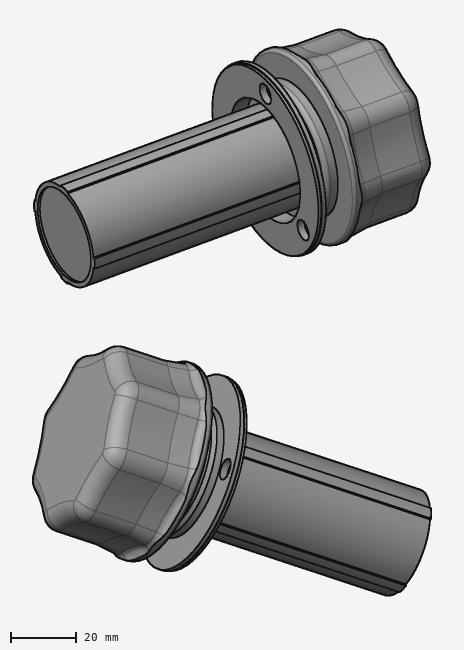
import cadquery as cq
import math

TOTAL_LENGTH = 115.0

TUBE_RADIUS = 17.0
STRIP_RADIUS = 17.6
STRIP_WIDTH = 3.9
STRIP_COUNT = 4
TUBE_RECESS_RADIUS = 15.4
TUBE_RECESS_DEPTH = 0.8

FLANGE_START = 72.1
FLANGE_FACE_RADIUS = 30.8
FLANGE_FACE_THICKNESS = 1.0
FLANGE_RADIUS = 31.2
FLANGE_THICKNESS = 2.5
FLANGE_BORE_RADIUS = 20.2
FLANGE_BORE_DEPTH = 5.7
HOLE_RADIUS = 3.3
HOLE_CIRCLE_RADIUS = 25.3
HOLE_COUNT = 3

NECK_RADIUS = 21.0
GROOVE_RADIUS = 20.5
COLLAR_RADIUS = 22.4
NECK_END = 77.0
GROOVE_START = 78.6
GROOVE_END = 79.9
COLLAR_ROUND = 1.6

KNOB_LENGTH = 30.7
LOBE_COUNT = 8
LOBE_TIP_RADIUS = 30.0
LOBE_ROUND = 6.2
LOBE_HALF_WIDTH = 3.3
KNOB_TOP_ROUND = 5.3
KNOB_STRAIGHT_LENGTH = 19.5
SKIRT_FLARE_ANGLE = 8.0
SKIRT_ROUND = 2.6
RIM_RADIUS = 31.7
RIM_THICKNESS = 2.2
EDGE_TOLERANCE = 0.1

knob_bottom = TOTAL_LENGTH - KNOB_LENGTH
rim_top = knob_bottom + RIM_THICKNESS
flare_start = TOTAL_LENGTH - KNOB_STRAIGHT_LENGTH


def plane_at(y):
    """Sketch plane facing +Y whose local axes are Z and X."""
    return cq.Workplane(cq.Plane(origin=(0, y, 0), xDir=(0, 0, 1), normal=(0, 1, 0)))


def plane_facing_down(y):
    """Sketch plane facing -Y whose local axes are X and Z."""
    return cq.Workplane(cq.Plane(origin=(0, y, 0), xDir=(1, 0, 0), normal=(0, -1, 0)))


def disc(radius, start, end):
    return plane_at(start).circle(radius).extrude(end - start)


def polar(radius, angle):
    return (radius * math.cos(angle), radius * math.sin(angle))


def lobed_outline(workplane):
    """Closed outline of convex lobes joined by tangent concave flutes."""
    pitch = 2 * math.pi / LOBE_COUNT
    lobe_half_turn = math.asin(LOBE_HALF_WIDTH / LOBE_ROUND)
    joint_x = LOBE_TIP_RADIUS - LOBE_ROUND * (1 - math.cos(lobe_half_turn))
    joint_radius = math.hypot(joint_x, LOBE_HALF_WIDTH)
    joint_angle = math.atan2(LOBE_HALF_WIDTH, joint_x)

    flute_half_turn = lobe_half_turn - pitch / 2
    half_gap = pitch / 2 - joint_angle
    flute_round = joint_radius * math.sin(half_gap) / math.sin(flute_half_turn)
    flute_sag = flute_round * (1 - math.cos(flute_half_turn))
    flute_radius = joint_radius * math.cos(half_gap) - flute_sag

    outline = workplane.moveTo(*polar(joint_radius, -joint_angle))
    for lobe in range(LOBE_COUNT):
        angle = lobe * pitch
        outline = outline.threePointArc(
            polar(LOBE_TIP_RADIUS, angle),
            polar(joint_radius, angle + joint_angle),
        )
        outline = outline.threePointArc(
            polar(flute_radius, angle + pitch / 2),
            polar(joint_radius, angle + pitch - joint_angle),
        )
    return outline.close()


def make_knob():
    grip = lobed_outline(plane_at(flare_start)).extrude(KNOB_STRAIGHT_LENGTH)
    grip = grip.faces(">Y").edges().fillet(KNOB_TOP_ROUND)
    skirt = lobed_outline(plane_facing_down(flare_start)).extrude(
        flare_start - rim_top, taper=-SKIRT_FLARE_ANGLE
    )

    root_limit = RIM_RADIUS + SKIRT_ROUND
    blank_radius = root_limit + SKIRT_ROUND
    blank = skirt.union(disc(blank_radius, knob_bottom, rim_top))
    root_box = cq.selectors.BoxSelector(
        (-root_limit, rim_top - EDGE_TOLERANCE, -root_limit),
        (root_limit, rim_top + EDGE_TOLERANCE, root_limit),
        boundingbox=True,
    )
    blank = blank.edges(root_box).fillet(SKIRT_ROUND)

    rim_round = RIM_THICKNESS / 2
    trim = disc(RIM_RADIUS, knob_bottom, flare_start).faces("<Y").edges().fillet(rim_round)
    return grip.union(blank.intersect(trim))


def make_collar():
    """Neck, groove and collar between the flange and the knob."""
    profile = (
        cq.Workplane("XY")
        .moveTo(0, FLANGE_START)
        .lineTo(NECK_RADIUS, FLANGE_START)
        .lineTo(NECK_RADIUS, NECK_END)
        .lineTo(GROOVE_RADIUS, GROOVE_START)
        .lineTo(GROOVE_RADIUS, GROOVE_END)
        .lineTo(COLLAR_RADIUS - COLLAR_ROUND, GROOVE_END)
        .radiusArc((COLLAR_RADIUS, GROOVE_END + COLLAR_ROUND), -COLLAR_ROUND)
        .lineTo(COLLAR_RADIUS, knob_bottom)
        .lineTo(0, knob_bottom)
        .close()
    )
    return profile.revolve(360, (0, 0, 0), (0, 1, 0))


def make_flange():
    flange_end = FLANGE_START + FLANGE_THICKNESS
    face = disc(FLANGE_FACE_RADIUS, FLANGE_START, flange_end)
    step = disc(FLANGE_RADIUS, FLANGE_START + FLANGE_FACE_THICKNESS, flange_end)
    holes = (
        plane_at(FLANGE_START)
        .polarArray(HOLE_CIRCLE_RADIUS, 0, 360, HOLE_COUNT)
        .circle(HOLE_RADIUS)
        .extrude(FLANGE_THICKNESS)
    )
    return face.union(step).cut(holes)


def make_tube():
    tube_end = FLANGE_START + FLANGE_BORE_DEPTH
    bars = (
        plane_at(0)
        .polarArray(STRIP_RADIUS / 2, 0, 360, STRIP_COUNT)
        .rect(STRIP_RADIUS, STRIP_WIDTH)
        .extrude(tube_end)
    )
    strips = bars.intersect(disc(STRIP_RADIUS, 0, tube_end))
    recess = disc(TUBE_RECESS_RADIUS, 0, TUBE_RECESS_DEPTH)
    return disc(TUBE_RADIUS, 0, tube_end).union(strips).cut(recess)


bore = disc(FLANGE_BORE_RADIUS, FLANGE_START, FLANGE_START + FLANGE_BORE_DEPTH)
head = make_knob().union(make_collar()).union(make_flange()).cut(bore)
result = head.union(make_tube())